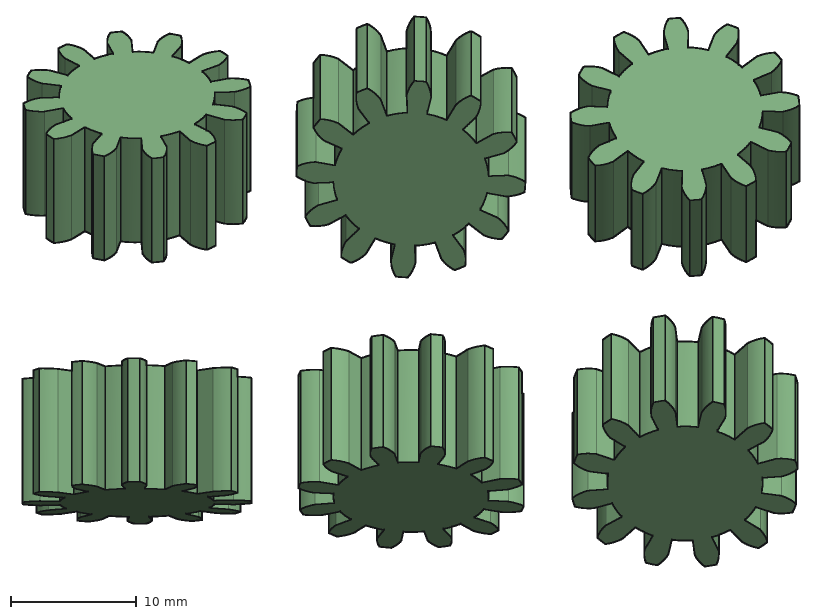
import cadquery as cq
import math

tooth_count = 12
outer_size = 18.18
face_width = 10.0
root_radius = 6.18
flank_start_radius = 7.76
half_root_angle = 7.3
half_middle_angle = 5.6
half_tip_angle = 3.0

tooth_pitch_angle = 360.0 / tooth_count
first_tooth_angle = 90.0 - tooth_pitch_angle / 4

highest_corner_angle = first_tooth_angle + half_tip_angle
tip_radius = outer_size / 2 / math.sin(math.radians(highest_corner_angle))
flank_middle_radius = (flank_start_radius + tip_radius) / 2


def polar(radius, angle):
    """Point at a radius and an angle in degrees."""
    turn = math.radians(angle)
    return (radius * math.cos(turn), radius * math.sin(turn))


def tooth(centre_angle):
    """Tooth with radial lower flanks, arched upper flanks and a round tip."""

    def flank(side):
        return (
            polar(flank_start_radius, centre_angle + side * half_root_angle),
            polar(flank_middle_radius, centre_angle + side * half_middle_angle),
            polar(tip_radius, centre_angle + side * half_tip_angle),
        )

    right_start, right_middle, right_tip = flank(-1)
    left_start, left_middle, left_tip = flank(1)
    return (
        cq.Workplane("XY")
        .lineTo(*right_start)
        .threePointArc(right_middle, right_tip)
        .threePointArc(polar(tip_radius, centre_angle), left_tip)
        .threePointArc(left_middle, left_start)
        .close()
        .extrude(face_width)
    )


result = cq.Workplane("XY").circle(root_radius).extrude(face_width)
for index in range(tooth_count):
    result = result.union(tooth(first_tooth_angle + index * tooth_pitch_angle))